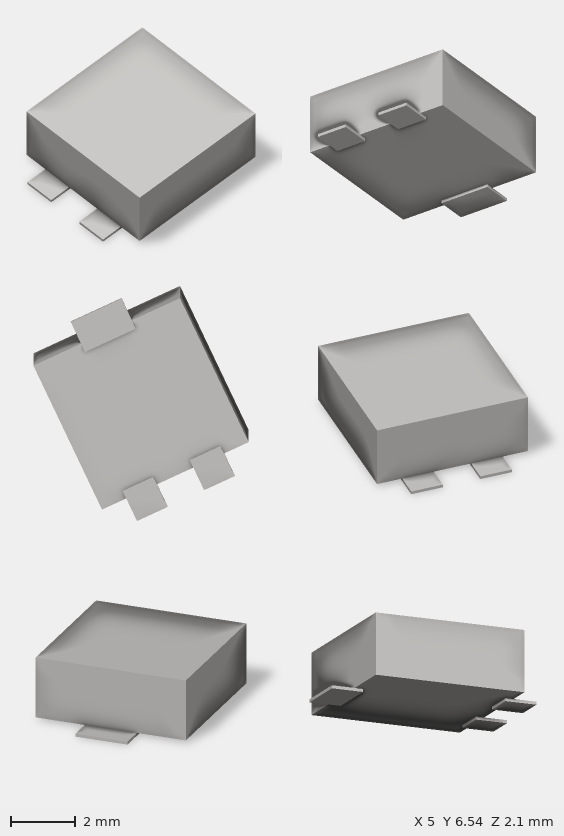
import cadquery as cq

body_side = 5.0
body_height = 2.0
overall_length = 6.54
pad_thickness = 0.1
pad_length = 1.045
front_pad_width = 1.045
front_pad_pitch = 2.29
rear_pad_width = 1.73

pad_center_y = (overall_length - pad_length) / 2


def make_body():
    """Square block resting on top of the pads."""
    return (
        cq.Workplane("XY")
        .workplane(offset=pad_thickness)
        .rect(body_side, body_side)
        .extrude(body_height)
    )


def make_pad(width, center_x, center_y):
    """Flat terminal pad with its underside at Z = 0."""
    return (
        cq.Workplane("XY")
        .center(center_x, center_y)
        .rect(width, pad_length)
        .extrude(pad_thickness)
    )


body = make_body()
rear_pad = make_pad(rear_pad_width, 0, pad_center_y)
front_pads = [
    make_pad(front_pad_width, side * front_pad_pitch / 2, -pad_center_y)
    for side in (-1, 1)
]

result = cq.Compound.makeCompound(
    [body.val(), rear_pad.val(), *[pad.val() for pad in front_pads]]
)